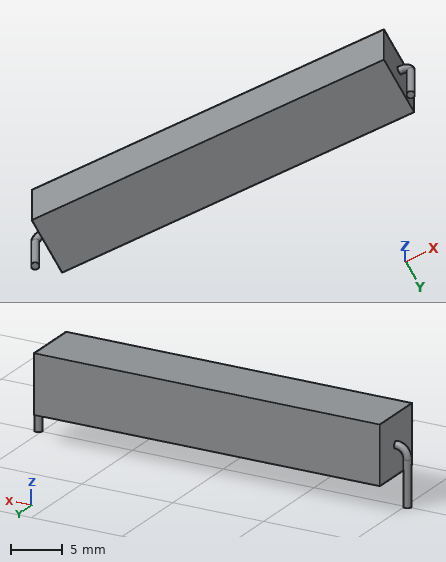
import cadquery as cq

body_length = 38.1
body_side = 6.4

lead_diameter = 0.8
lead_pitch = 40.64
lead_drop = 3.0
bend_radius = 1.2

lead_height = body_side / 2


def make_body():
    return cq.Workplane("XY").box(body_length, body_side, body_side, centered=(True, True, False))


def make_lead(side):
    """Wire at the end given by side (-1 or +1), swept from the end face to its tip."""
    face_x = side * body_length / 2
    leg_x = side * lead_pitch / 2
    bend_start_x = leg_x - side * bend_radius
    path = (
        cq.Workplane("XZ")
        .moveTo(face_x, lead_height)
        .lineTo(bend_start_x, lead_height)
        .tangentArcPoint((leg_x, lead_height - bend_radius), relative=False)
        .lineTo(leg_x, -lead_drop)
    )
    wire_section = cq.Workplane("YZ", origin=(face_x, 0, lead_height)).circle(lead_diameter / 2)
    return wire_section.sweep(path)


result = make_body()
for end_side in (-1, 1):
    result = result.union(make_lead(end_side))